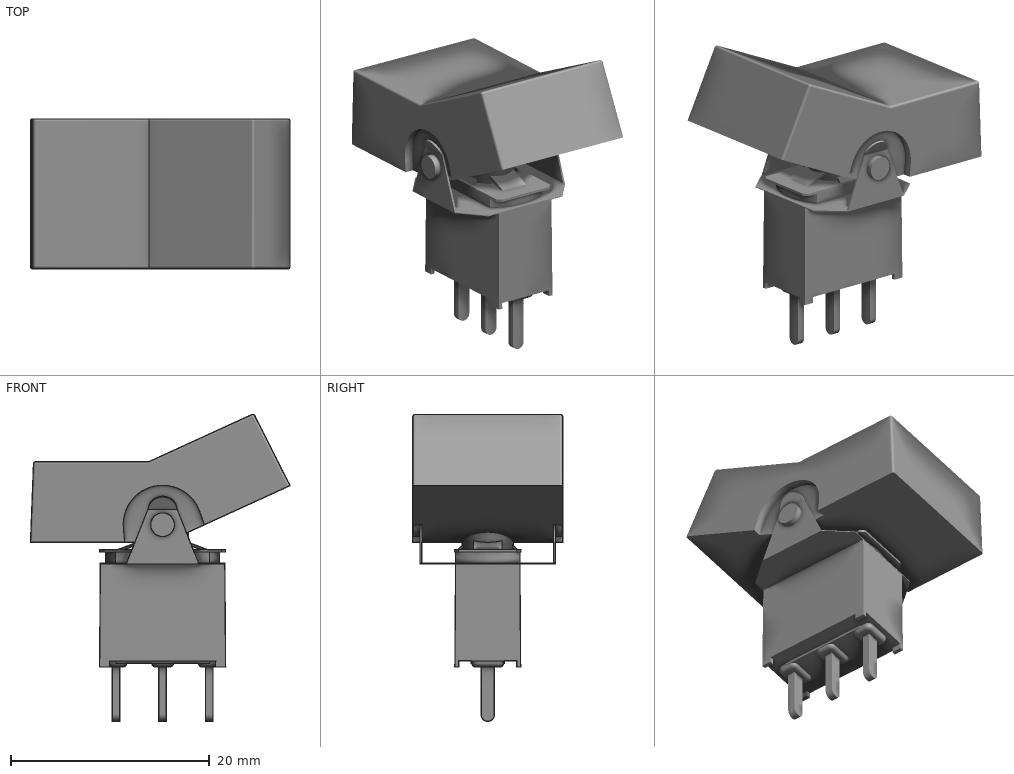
import cadquery as cq
import math


housing_top_length = 12.56
housing_top_width = 6.5
housing_foot_length = 12.72
housing_foot_width = 6.65
housing_height = 10.4
foot_height = 0.63
foot_length = 1.03
foot_width = 0.42

terminal_pitch = 4.7
terminal_offsets = (-terminal_pitch, 0, terminal_pitch)
terminal_thickness = 0.78
terminal_width = 1.34
terminal_tip_z = -15.86
potting_width = 3.35
potting_depth = 0.25
bead_length = 2.2
bead_width = 3.2
bead_depth = 0.61
bead_corner_round = 0.6
bead_rim_round = 0.4

collar_diameter = 11.5
collar_width = housing_top_width
collar_top = 1.2
washer_length = 12.7
washer_width = 6.73
washer_thickness = 0.25
washer_corner = 0.43
washer_top = collar_top + washer_thickness
neck_diameter = 5.2
wing_width = 2.9
end_wing_foot = 4.5
side_wing_foot = 3.0
end_wing_tip = 2.1
side_wing_tip = 2.5
end_wing_slope = 21
side_wing_slope = 45

pivot_height = 3.95
pivot_diameter = 2.38
pivot_length = 15.0
sheet_thickness = 0.2
base_thickness = 0.08
bracket_span = 13.66
bracket_foot_length = 7.32
bracket_top_length = 2.9
bracket_top = 5.55
bracket_base_length = 12.6
bracket_base_straight_width = 9.2
tab_length = 1.4
tab_lean = 25

rocker_tilt = 12.3
rocker_width = 15.11
rocker_vertex_height = 6.5
rocker_arm_length = 11.62
rocker_arm_depth = 8.12
rocker_end_draft = 0.31
rocker_edge_round = 0.25
recess_radius = 3.97
recess_flare = 7
recess_reach = 8.0
recess_floor_y = bracket_span / 2 - sheet_thickness


def box_between(x_size, y_size, z_low, z_high):
    """Box centred on the Z axis."""
    return cq.Workplane("XY").workplane(offset=z_low).rect(x_size, y_size).extrude(z_high - z_low)


def across_y(points, width):
    """Closed XZ outline extruded symmetrically along Y."""
    return cq.Workplane("XZ").polyline(points).close().extrude(width / 2, both=True)


def make_housing():
    """Slightly tapered box standing on four corner feet."""
    housing = (
        cq.Workplane("XY")
        .rect(housing_top_length, housing_top_width)
        .workplane(offset=-housing_height)
        .rect(housing_foot_length, housing_foot_width)
        .loft(ruled=True)
    )
    gap_length = housing_foot_length - 2 * foot_length
    gap_width = housing_foot_width - 2 * foot_width
    underside = foot_height - housing_height
    housing = housing.cut(box_between(gap_length, housing_foot_width, -housing_height, underside))
    return housing.cut(box_between(housing_foot_length, gap_width, -housing_height, underside))


def make_terminals():
    """Three flat pins with rounded tips, each in a bead on a shared strip of potting."""
    underside = foot_height - housing_height
    terminals = box_between(2 * terminal_pitch, potting_width, underside - potting_depth, underside)
    bead = (
        box_between(bead_length, bead_width, underside - bead_depth, underside)
        .edges("|Z")
        .fillet(bead_corner_round)
        .faces("<Z")
        .edges()
        .fillet(bead_rim_round)
    )
    tip_radius = terminal_width / 2
    tip_center_z = terminal_tip_z + tip_radius
    pin = box_between(terminal_thickness, terminal_width, tip_center_z, underside)
    tip = (
        cq.Workplane("YZ")
        .center(0, tip_center_z)
        .circle(tip_radius)
        .extrude(terminal_thickness / 2, both=True)
    )
    terminal = bead.union(pin).union(tip)
    for offset in terminal_offsets:
        terminals = terminals.union(terminal.translate((offset, 0, 0)))
    return terminals


def make_wing(foot, tip, slope):
    """Strip rising from the washer at X = foot to X = tip inside the neck."""
    slope_angle = math.radians(slope)
    rise = (foot - tip) * math.tan(slope_angle)
    strip_depth = washer_thickness / math.cos(slope_angle)
    return across_y(
        [
            (foot, washer_top),
            (tip, washer_top + rise),
            (tip, washer_top + rise - strip_depth),
            (foot, washer_top - strip_depth),
        ],
        wing_width,
    )


def make_bushing():
    """Flat-sided collar, lock washer with four bent wings, and the round neck."""
    collar = cq.Workplane("XY").circle(collar_diameter / 2).extrude(collar_top)
    collar = collar.intersect(box_between(collar_diameter, collar_width, 0, collar_top))
    washer = box_between(washer_length, washer_width, collar_top, washer_top)
    washer = washer.edges("|Z").chamfer(washer_corner)
    neck = cq.Workplane("XY").circle(neck_diameter / 2).extrude(pivot_height)
    bushing = collar.union(washer).union(neck)
    for turn in (0, 180):
        end_wing = make_wing(end_wing_foot, end_wing_tip, end_wing_slope)
        side_wing = make_wing(side_wing_foot, side_wing_tip, side_wing_slope)
        bushing = bushing.union(end_wing.rotate((0, 0, 0), (0, 0, 1), turn))
        bushing = bushing.union(side_wing.rotate((0, 0, 0), (0, 0, 1), turn + 90))
    return bushing


def make_bracket_ear():
    """Tapered side plate on the -Y side with a round-topped tab leaning outward."""
    foot_half = bracket_foot_length / 2
    top_half = bracket_top_length / 2
    inner_y = sheet_thickness - bracket_span / 2
    plate = (
        cq.Workplane("XZ", origin=(0, inner_y, 0))
        .polyline([(-foot_half, 0), (-top_half, bracket_top), (top_half, bracket_top), (foot_half, 0)])
        .close()
        .extrude(sheet_thickness)
    )
    tab = (
        cq.Workplane("XZ", origin=(0, inner_y, 0))
        .moveTo(-top_half, bracket_top)
        .threePointArc((0, bracket_top + tab_length), (top_half, bracket_top))
        .close()
        .extrude(sheet_thickness)
        .rotate((0, inner_y, bracket_top), (1, inner_y, bracket_top), tab_lean)
    )
    return plate.union(tab)


def make_bracket():
    """Sheet base on the housing, two ears and the pivot pin."""
    end_x = bracket_base_length / 2
    straight_y = bracket_base_straight_width / 2
    ear_x = bracket_foot_length / 2
    ear_y = bracket_span / 2
    base = (
        cq.Workplane("XY")
        .polyline(
            [
                (end_x, -straight_y),
                (end_x, straight_y),
                (ear_x, ear_y),
                (-ear_x, ear_y),
                (-end_x, straight_y),
                (-end_x, -straight_y),
                (-ear_x, -ear_y),
                (ear_x, -ear_y),
            ]
        )
        .close()
        .extrude(base_thickness)
    )
    ear = make_bracket_ear()
    pin = (
        cq.Workplane("XZ")
        .center(0, pivot_height)
        .circle(pivot_diameter / 2)
        .extrude(pivot_length / 2, both=True)
    )
    return base.union(ear).union(ear.mirror("XZ")).union(pin)


def make_recess():
    """Arched pocket around the -Y ear, with legs flaring downward from the arch."""
    flare = math.radians(recess_flare)
    tangent_x = recess_radius * math.cos(flare)
    tangent_z = recess_radius * math.sin(flare)
    leg_x = tangent_x + (recess_reach + tangent_z) * math.tan(flare)
    return (
        cq.Workplane("XZ", origin=(0, -recess_floor_y, 0))
        .moveTo(-leg_x, -recess_reach)
        .lineTo(-tangent_x, tangent_z)
        .threePointArc((0, recess_radius), (tangent_x, tangent_z))
        .lineTo(leg_x, -recess_reach)
        .close()
        .extrude(rocker_width)
    )


def make_rocker():
    """V-shaped rocker with softened upper edges and a recess around each bracket ear."""
    tilt = math.radians(rocker_tilt)

    def arm_point(along, below):
        """Point on the right arm, from the top vertex along the arm and square below its top face."""
        x = along * math.cos(tilt) + below * math.sin(tilt)
        z = rocker_vertex_height + along * math.sin(tilt) - below * math.cos(tilt)
        return x, z

    top_x, top_z = arm_point(rocker_arm_length, 0)
    tip_x, tip_z = arm_point(rocker_arm_length + rocker_end_draft, rocker_arm_depth)
    notch_z = rocker_vertex_height - rocker_arm_depth / math.cos(tilt)
    outline = [
        (0, rocker_vertex_height),
        (top_x, top_z),
        (tip_x, tip_z),
        (0, notch_z),
        (-tip_x, tip_z),
        (-top_x, top_z),
    ]
    rocker = across_y(outline, rocker_width)
    upper_edges = [
        edge
        for edge in rocker.edges().vals()
        if edge.Center().z > tip_z + rocker_edge_round and abs(edge.Center().x) > rocker_edge_round
    ]
    rocker = rocker.newObject(upper_edges).fillet(rocker_edge_round)

    recess = make_recess()
    rocker = rocker.cut(recess).cut(recess.mirror("XZ"))
    return rocker.rotate((0, 0, 0), (0, 1, 0), -rocker_tilt).translate((0, 0, pivot_height))


result = (
    make_housing()
    .union(make_terminals())
    .union(make_bushing())
    .union(make_bracket())
    .union(make_rocker())
)